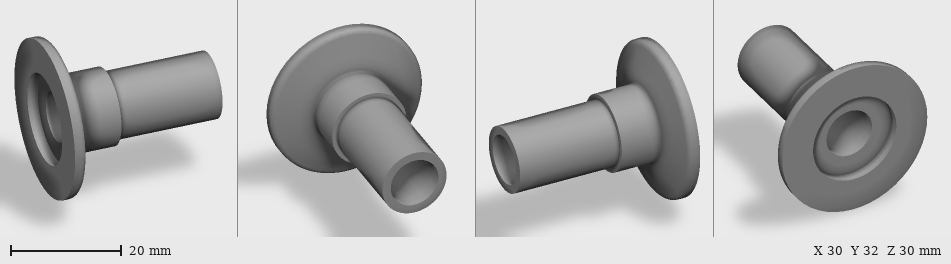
import cadquery as cq
import math

length = 32.0
flange_radius = 15.0
tube_radius = 6.35
collar_radius = 7.35
bore_radius = 4.7

collar_end = 12.0

slope_angle = math.radians(15)
cone_base = 2.1
rim_fillet = 1.0
neck_fillet = 0.5

tolerance = 0.03

recess_radius = 8.6
recess_depth = 2.05


def along_axis(radius, start, end):
    """Cylinder about Y between two distances from the sealing face."""
    plane = cq.Workplane("XZ", origin=(0, start, 0))
    return plane.circle(radius).extrude(start - end)


def flanged_body():
    """Flange with sloping back, collar and tube, revolved about Y."""
    cone_top = cone_base + (flange_radius - collar_radius) * math.tan(slope_angle)
    profile = (
        cq.Workplane("XY")
        .lineTo(flange_radius, 0)
        .lineTo(flange_radius, cone_base)
        .lineTo(collar_radius, cone_top)
        .lineTo(collar_radius, collar_end)
        .lineTo(tube_radius, collar_end)
        .lineTo(tube_radius, length)
        .lineTo(0, length)
        .close()
    )
    body = profile.revolve(360, (0, 0, 0), (0, 1, 0))
    for radius, height, fillet in (
        (flange_radius, cone_base, rim_fillet),
        (collar_radius, cone_top, neck_fillet),
    ):
        edge_zone = cq.selectors.BoxSelector(
            (-radius - tolerance, height - tolerance, -radius - tolerance),
            (radius + tolerance, height + tolerance, radius + tolerance),
            boundingbox=True,
        )
        body = body.edges(edge_zone).fillet(fillet)
    return body


bore = along_axis(bore_radius, 0, length)
recess = along_axis(recess_radius, 0, recess_depth)
result = flanged_body().cut(bore).cut(recess)